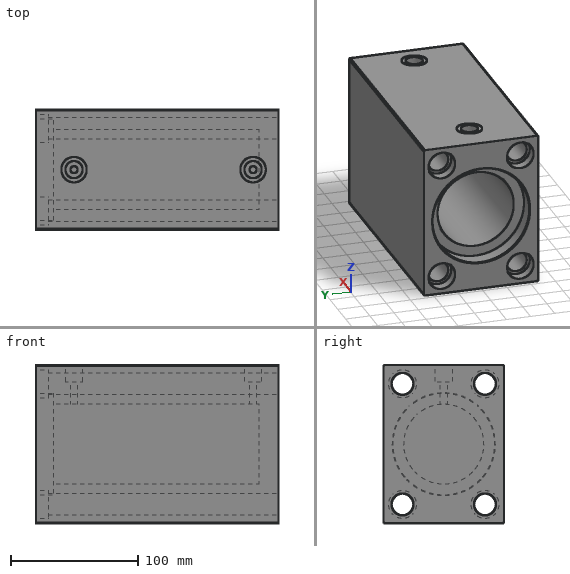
import cadquery as cq

LENGTH = 191.0
WIDTH = 95.0
HEIGHT = 125.0
EDGE_CHAMFER = 1.0

BORE_DIAMETER = 63.0
BORE_END_WALL = 15.3
RECESS_DIAMETER = 80.0
RECESS_DEPTH = 14.0
RECESS_CHAMFER = 0.5

BOLT_DIAMETER = 17.0
BOLT_HEAD_DIAMETER = 22.0
BOLT_HEAD_DEPTH = 10.0
BOLT_SPACING_Y = 65.0
BOLT_SPACING_Z = 95.0

FRONT_PORT_OFFSET = 30.0
REAR_PORT_OFFSET = 20.0
SPOT_DIAMETER = 20.0
SPOT_DEPTH = 0.1
PORT_DIAMETER = 13.5
PORT_DEPTH = 13.4
PASSAGE_DIAMETER = 5.5

FRONT_X = -LENGTH / 2
REAR_X = LENGTH / 2
TOP_Z = HEIGHT / 2


def cylinder_along_x(diameter, depth, y=0, z=0):
    """Cylinder starting at the -X face and reaching the given depth."""
    start = cq.Vector(FRONT_X, y, z)
    return cq.Workplane(cq.Solid.makeCylinder(diameter / 2, depth, start, cq.Vector(1, 0, 0)))


def cylinder_from_top(diameter, depth, x):
    """Cylinder starting at the top face and reaching down to the given depth."""
    start = cq.Vector(x, 0, TOP_Z)
    return cq.Workplane(cq.Solid.makeCylinder(diameter / 2, depth, start, cq.Vector(0, 0, -1)))


def block():
    return cq.Workplane("XY").box(LENGTH, WIDTH, HEIGHT).edges("|X").chamfer(EDGE_CHAMFER)


def stepped_bore():
    bore = cylinder_along_x(BORE_DIAMETER, LENGTH - BORE_END_WALL)
    recess = cylinder_along_x(RECESS_DIAMETER, RECESS_DEPTH)
    lead_in = cq.Solid.makeCone(
        RECESS_DIAMETER / 2 + RECESS_CHAMFER,
        RECESS_DIAMETER / 2,
        RECESS_CHAMFER,
        cq.Vector(FRONT_X, 0, 0),
        cq.Vector(1, 0, 0),
    )
    return bore.union(recess).union(cq.Workplane(lead_in))


def bolt_hole(y, z):
    shank = cylinder_along_x(BOLT_DIAMETER, LENGTH, y, z)
    head = cylinder_along_x(BOLT_HEAD_DIAMETER, BOLT_HEAD_DEPTH, y, z)
    return shank.union(head)


def oil_port(x):
    spot_face = cylinder_from_top(SPOT_DIAMETER, SPOT_DEPTH, x)
    port = cylinder_from_top(PORT_DIAMETER, PORT_DEPTH, x)
    passage = cylinder_from_top(PASSAGE_DIAMETER, TOP_Z, x)
    return spot_face.union(port).union(passage)


result = block().cut(stepped_bore())

for side_y in (-1, 1):
    for side_z in (-1, 1):
        result = result.cut(bolt_hole(side_y * BOLT_SPACING_Y / 2, side_z * BOLT_SPACING_Z / 2))

for port_x in (FRONT_X + FRONT_PORT_OFFSET, REAR_X - REAR_PORT_OFFSET):
    result = result.cut(oil_port(port_x))